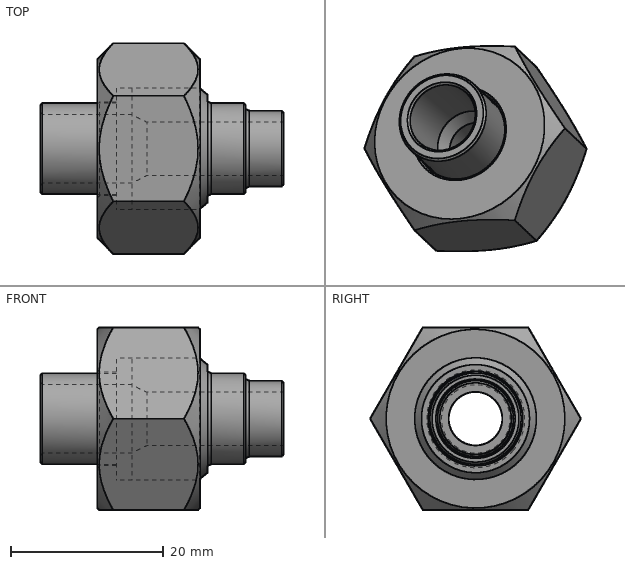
import cadquery as cq
import math


total_length = 32.0
nut_start = 7.5
nut_end = 21.0
lip_end = 10.0
joint = 12.0
collar_end = 22.0
shoulder_end = 27.0

tube_diameter = 12.0
tube_bore = 9.0
spigot_bore = 7.0
tip_diameter = 10.0
collar_diameter = 16.0
collar_face_diameter = 14.2
lip_bore = 12.3

across_flats = 24.0
across_corners = across_flats / math.cos(math.radians(30))
nut_face_diameter = 23.5

chamfer = 0.3
collar_cone_length = 1.1
root_length = 0.48
root_height = 0.22
bore_cone_length = 2.0


def revolve_about_x(profile):
    """Turn a closed list of (x, radius) points about the X axis."""
    return cq.Workplane("XY").polyline(profile).close().revolve(360, (0, 0, 0), (1, 0, 0))


def make_tailpiece():
    """Plain tube with a flange held behind the nut lip."""
    outer = tube_diameter / 2
    inner = tube_bore / 2
    flange = collar_diameter / 2
    return revolve_about_x([
        (0, inner + chamfer),
        (0, outer - chamfer),
        (chamfer, outer),
        (lip_end, outer),
        (lip_end, flange),
        (joint, flange),
        (joint, inner),
        (chamfer, inner),
    ])


def make_spigot():
    """Collar inside the nut, then two stepped diameters, with a tapered bore entry."""
    collar = collar_diameter / 2
    shoulder = tube_diameter / 2
    tip = tip_diameter / 2
    bore = spigot_bore / 2
    return revolve_about_x([
        (joint, tube_bore / 2),
        (joint, collar),
        (collar_end - collar_cone_length, collar),
        (collar_end, collar_face_diameter / 2),
        (collar_end, shoulder + root_height),
        (collar_end + root_length, shoulder),
        (shoulder_end - chamfer, shoulder),
        (shoulder_end, shoulder - chamfer),
        (shoulder_end, tip + root_height),
        (shoulder_end + root_length, tip),
        (total_length - chamfer, tip),
        (total_length, tip - chamfer),
        (total_length, bore),
        (joint + bore_cone_length, bore),
    ])


def make_nut():
    """Hexagon nut with 45 degree corner chamfers on both faces and a lip at one end."""
    hexagon = (
        cq.Workplane("YZ", origin=(nut_start, 0, 0))
        .polygon(6, across_corners)
        .extrude(nut_end - nut_start)
    )

    corner = across_corners / 2
    face = nut_face_diameter / 2
    corner_chamfer = corner - face
    bore = lip_bore / 2
    cavity = collar_diameter / 2
    envelope = revolve_about_x([
        (nut_start, bore + chamfer),
        (nut_start, face),
        (nut_start + corner_chamfer, corner),
        (nut_end - corner_chamfer, corner),
        (nut_end, face),
        (nut_end, cavity),
        (lip_end, cavity),
        (lip_end, bore),
        (nut_start + chamfer, bore),
    ])
    return hexagon.intersect(envelope).solids()


tailpiece = make_tailpiece()
spigot = make_spigot()
nut = make_nut()

result = cq.Compound.makeCompound([tailpiece.val(), spigot.val(), nut.val()])